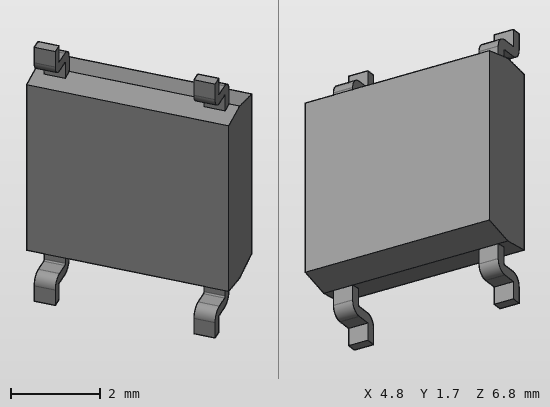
import cadquery as cq

overall_depth = 1.7
overall_height = 6.8
back_y = overall_depth / 2
front_y = -overall_depth / 2
top_z = overall_height / 2

housing_width = 4.8
housing_depth = 1.5
ridge_setback = 0.795
ridge_half_height = 2.305
back_half_height = 2.135
front_half_height = 2.22
housing_front_y = back_y - housing_depth
ridge_y = back_y - ridge_setback

lead_width = 0.5
lead_thickness = 0.25
lead_pitch = 3.795
foot_length = 0.435
root_inner_radius = 0.035
root_outer_radius = root_inner_radius + lead_thickness
foot_outer_radius = 0.27


def make_housing():
    return (
        cq.Workplane("YZ")
        .moveTo(back_y, -back_half_height)
        .lineTo(back_y, back_half_height)
        .lineTo(ridge_y, ridge_half_height)
        .lineTo(housing_front_y, front_half_height)
        .lineTo(housing_front_y, -front_half_height)
        .lineTo(ridge_y, -ridge_half_height)
        .close()
        .extrude(housing_width / 2, both=True)
    )


def make_upper_lead(center_x):
    """Lead that starts at the ridge, runs forward and ends in an upright foot."""
    root_front_y = ridge_y - lead_thickness
    foot_back_y = front_y + lead_thickness
    bar_top_z = top_z - foot_length
    bar_bottom_z = bar_top_z - lead_thickness
    front_slope = (ridge_half_height - front_half_height) / (ridge_y - housing_front_y)
    root_front_z = ridge_half_height - front_slope * lead_thickness
    lead = (
        cq.Workplane("YZ")
        .moveTo(ridge_y, ridge_half_height)
        .lineTo(ridge_y, bar_top_z)
        .lineTo(foot_back_y, bar_top_z)
        .lineTo(foot_back_y, top_z)
        .lineTo(front_y, top_z)
        .lineTo(front_y, bar_bottom_z)
        .lineTo(root_front_y, bar_bottom_z)
        .lineTo(root_front_y, root_front_z)
        .close()
        .extrude(lead_width / 2, both=True)
    )
    lead = round_bend(lead, ridge_y, bar_top_z, root_outer_radius)
    lead = round_bend(lead, root_front_y, bar_bottom_z, root_inner_radius)
    lead = round_bend(lead, front_y, bar_bottom_z, foot_outer_radius)
    return lead.translate((center_x, 0, 0))


def round_bend(lead, corner_y, corner_z, radius):
    """Round the bend edge that runs along X through the given corner."""
    corner = cq.NearestToPointSelector((0, corner_y, corner_z))
    return lead.edges("|X").edges(corner).fillet(radius)


housing = make_housing()

leads = []
for center_x in (-lead_pitch / 2, lead_pitch / 2):
    upper_lead = make_upper_lead(center_x)
    lower_lead = upper_lead.mirror("XY")
    leads.append(upper_lead.val())
    leads.append(lower_lead.val())

result = cq.Compound.makeCompound([housing.val(), *leads])